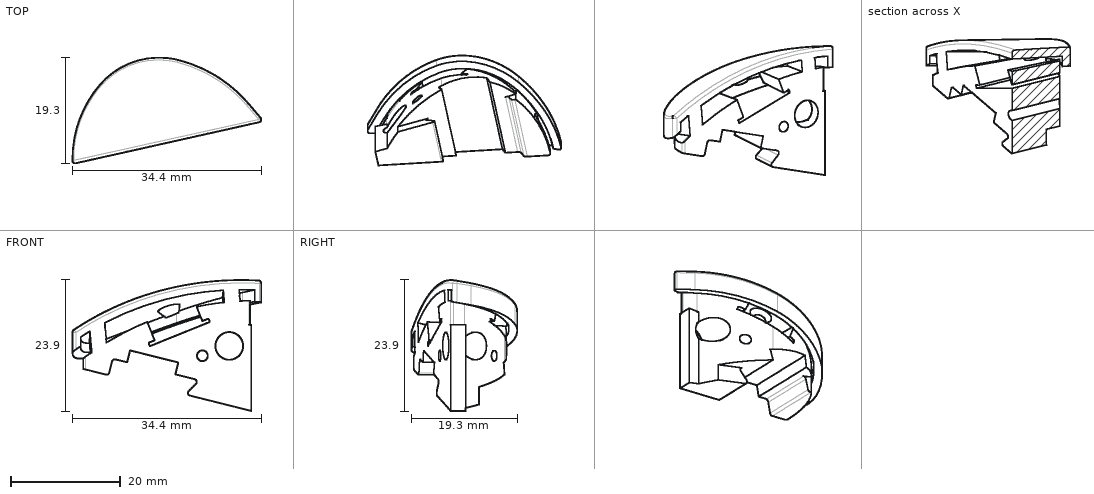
import cadquery as cq
import math


FRONT_SLOPE = 0.2238
FRONT_OFFSET = -0.08
START_HEADING = 1.614
BACK_ARCS = [
    (20.8, 0.754),
    (14.17, 1.111),
    (24.9, 0.615),
]
CORNER_RADIUS = 0.5

CAP_DIRECTION = cq.Vector(0.145, 1.0, -0.1655)
CAP_RADIUS = 54.17
CAP_AXIS_X = 33.0
CAP_AXIS_Z = -29.8
CEILING_DEPTH = 1.85
SKIRT_HEIGHT = 4.0
SKIRT_THICKNESS = 1.5
FLOOR_DIRECTION = cq.Vector(0.145, 1.0, 0.0)
FLOOR_RADIUS = 48.5
FLOOR_AXIS_X = 32.4
FLOOR_AXIS_Z = -28.4

POSTS = [
    (3.2, 6.07, 14.6),
    (27.68, 30.6, 22.0),
]
POST_LEAN = 0.09
POST_DRAFT = -0.04
POST_REACH = 8.0
POST_OVERLAP = 1.0

BODY_INSET = 1.95
BODY_CORNER_RADIUS = 0.35
SIDE_X = 32.54
SIDE_BACK_Y = 9.9
SIDE_BLOCK_LEFT = 25.0
SIDE_TOP_Z = 15.65
CLIP_BACK_Y = 12.38

RAIL_TILT = math.atan(0.25)
LAND_V = 3.1
NOTCH_V = 5.32
NOTCH_RIGHT_U = 15.05
NOTCH_WIDTH = 9.0
LEG_U = 26.75
HOOK_TIP_U = 12.4
HOOK_LEAN = 0.6
CLIP_RADIUS = 0.5

SLOT_TILT = 22.0
SLOT_CENTRE = (19.53, 14.02)
SLOT_WIDTH = 11.74
SLOT_HEIGHT = 0.62
NECK_WIDTH = 9.33
NECK_HEIGHT = 6.0
PLUNGER_GAP = 3.66
PLUNGER_TIP_RADIUS = 1.27
PLUNGER_HALF_ANGLE = 30.0
PLUNGER_LENGTH = 4.0
PLUNGER_Y = 12.3

HOLES = [(28.52, 11.84, 5.0), (23.63, 10.05, 1.92)]

REACH = 60.0
LINE_TOLERANCE = 0.05


def front_y(x):
    """Position of the front plane at x."""
    return FRONT_OFFSET + FRONT_SLOPE * x


def outline_prism(inset):
    """Tall prism on the cap outline, its back curve moved in by inset and its front unmoved."""
    heading = START_HEADING
    x = inset * math.sin(heading)
    y = front_y(0) - inset * math.cos(heading)
    wire = cq.Workplane("XY").moveTo(x, y)
    for full_radius, turn in BACK_ARCS:
        radius = full_radius - inset
        centre_x = x + radius * math.sin(heading)
        centre_y = y - radius * math.cos(heading)
        middle = heading - turn / 2
        heading -= turn
        x = centre_x - radius * math.sin(heading)
        y = centre_y + radius * math.cos(heading)
        wire = wire.threePointArc(
            (centre_x - radius * math.sin(middle), centre_y + radius * math.cos(middle)),
            (x, y),
        )
    slope = math.tan(heading)
    corner_x = (y - slope * x - FRONT_OFFSET) / (FRONT_SLOPE - slope)
    prism = wire.lineTo(corner_x, front_y(corner_x)).close().extrude(REACH)
    return prism.intersect(behind_front(REACH))


def behind_front(back_y):
    """Everything from the front plane back to back_y."""
    return (
        cq.Workplane("XY")
        .polyline([
            (-REACH, front_y(-REACH)),
            (REACH, front_y(REACH)),
            (REACH, back_y),
            (-REACH, back_y),
        ])
        .close()
        .extrude(REACH)
    )


def end_edges(prism):
    """Upright edges at the left and right ends of an outline prism."""
    return prism.edges("|Z and <X").add(prism.edges("|Z and >X"))


def long_cylinder(radius, axis_x, axis_z, direction):
    """Cylinder along direction whose axis crosses y = 0 at (axis_x, axis_z)."""
    unit = direction.normalized()
    start = cq.Vector(axis_x, 0, axis_z) - unit * REACH
    return cq.Workplane(cq.Solid.makeCylinder(radius, 2 * REACH, start, unit))


def below_cap_top(depth):
    """Everything under the surface that lies depth below the cap top."""
    return long_cylinder(CAP_RADIUS - depth, CAP_AXIS_X, CAP_AXIS_Z, CAP_DIRECTION)


def below_body_top():
    """Everything under the upper face of the body."""
    return long_cylinder(FLOOR_RADIUS, FLOOR_AXIS_X, FLOOR_AXIS_Z, FLOOR_DIRECTION)


def through_y(points):
    """Prism with an outline in XZ, running right through along Y."""
    return cq.Workplane("XZ").polyline(points).close().extrude(REACH, both=True)


def rail_point(u, v):
    """XZ position of a point of the rail frame."""
    cos_tilt = math.cos(RAIL_TILT)
    sin_tilt = math.sin(RAIL_TILT)
    return (SIDE_X - u * cos_tilt + v * sin_tilt, u * sin_tilt + v * cos_tilt)


def slot_point(along, up):
    """XZ position of a point of the switch slot frame."""
    cos_tilt = math.cos(math.radians(SLOT_TILT))
    sin_tilt = math.sin(math.radians(SLOT_TILT))
    return (
        SLOT_CENTRE[0] + along * cos_tilt - up * sin_tilt,
        SLOT_CENTRE[1] + along * sin_tilt + up * cos_tilt,
    )


def make_cap():
    """Curved shell with a side wall that is open towards the front and below."""
    top = below_cap_top(0)
    cap = outline_prism(0).intersect(top)
    cap = end_edges(cap).add(cap.faces(">Z").edges()).fillet(CORNER_RADIUS)
    cap = cap.cut(top.translate((0, 0, -SKIRT_HEIGHT)))
    return cap.cut(outline_prism(SKIRT_THICKNESS).intersect(below_cap_top(CEILING_DEPTH)))


def make_post(left_x, right_x, level):
    """Leaning prism along the post direction, with its side faces at left_x and right_x at level."""
    shift = POST_LEAN * POST_REACH
    bottom = level - POST_REACH
    top = level + POST_REACH
    wire = cq.Wire.makePolygon(
        [
            cq.Vector(left_x + shift, 0, bottom),
            cq.Vector(left_x - shift, 0, top),
            cq.Vector(right_x - shift, 0, top),
            cq.Vector(right_x + shift, 0, bottom),
        ],
        close=True,
    )
    direction = cq.Vector(POST_DRAFT, 1, 0) * REACH
    return cq.Workplane(cq.Solid.extrudeLinear(wire, [], direction))


def make_posts():
    """Posts at both ends of the cavity, from inside the body to inside the cap."""
    core = outline_prism(BODY_INSET)
    core = core.intersect(below_cap_top(CEILING_DEPTH / 2))
    core = core.cut(below_body_top().translate((0, 0, -POST_OVERLAP)))
    left_post, right_post = [core.intersect(make_post(*place)) for place in POSTS]
    return left_post.union(right_post)


def make_plunger():
    """Cone that hangs from the ceiling and points at the middle of the switch slot."""
    tip_x, tip_z = slot_point(0, PLUNGER_GAP)
    end_x, end_z = slot_point(0, PLUNGER_GAP + PLUNGER_LENGTH)
    root_radius = PLUNGER_TIP_RADIUS + PLUNGER_LENGTH * math.tan(math.radians(PLUNGER_HALF_ANGLE))
    tip = cq.Vector(tip_x, PLUNGER_Y, tip_z)
    direction = cq.Vector(end_x, PLUNGER_Y, end_z) - tip
    cone = cq.Solid.makeCone(PLUNGER_TIP_RADIUS, root_radius, PLUNGER_LENGTH, tip, direction)
    inside_cap = below_cap_top(CEILING_DEPTH / 2)
    return cq.Workplane(cone).intersect(inside_cap)


def make_switch_slot():
    """T shaped channel right through the body."""
    half_slot = SLOT_WIDTH / 2
    half_neck = NECK_WIDTH / 2
    return through_y([
        slot_point(-half_slot, 0),
        slot_point(half_slot, 0),
        slot_point(half_slot, SLOT_HEIGHT),
        slot_point(half_neck, SLOT_HEIGHT),
        slot_point(half_neck, NECK_HEIGHT),
        slot_point(-half_neck, NECK_HEIGHT),
        slot_point(-half_neck, SLOT_HEIGHT),
        slot_point(-half_slot, SLOT_HEIGHT),
    ])


def make_rail_gap():
    """Space between leg and hook, below the land."""
    gap = through_y([
        rail_point(HOOK_TIP_U, 0),
        rail_point(HOOK_TIP_U - HOOK_LEAN * LAND_V, LAND_V),
        rail_point(LEG_U, LAND_V),
        rail_point(LEG_U, 0),
    ])
    return gap.edges("|Y").edges(">Z or >X").fillet(CLIP_RADIUS)


def near_line(edges, x, z):
    """Those edges that lie on the line through (x, z) along Y."""
    low = (x - LINE_TOLERANCE, -REACH, z - LINE_TOLERANCE)
    high = (x + LINE_TOLERANCE, REACH, z + LINE_TOLERANCE)
    return edges.edges(cq.selectors.BoxSelector(low, high))


def make_notch():
    """Square channel in the land, right through the body."""
    left_u = NOTCH_RIGHT_U + NOTCH_WIDTH
    return through_y([
        rail_point(NOTCH_RIGHT_U, LAND_V - NOTCH_V),
        rail_point(NOTCH_RIGHT_U, NOTCH_V),
        rail_point(left_u, NOTCH_V),
        rail_point(left_u, LAND_V - NOTCH_V),
    ])


def above_rail_line(v):
    """Everything above the rail-frame line at height v."""
    return through_y([
        rail_point(-REACH, v),
        rail_point(REACH, v),
        rail_point(REACH, v + REACH),
        rail_point(-REACH, v + REACH),
    ])


def make_side_block():
    """Square right end of the body, up to the flat right side."""
    width = SIDE_X - SIDE_BLOCK_LEFT
    block = cq.Workplane("XY").box(width, SIDE_BACK_Y, SIDE_TOP_Z, centered=False)
    return block.translate((SIDE_BLOCK_LEFT, 0, 0)).intersect(behind_front(REACH))


def make_body():
    """Core below the cavity, with leg, hook, notch, switch slot and holes."""
    core = end_edges(outline_prism(BODY_INSET)).fillet(BODY_CORNER_RADIUS)
    core = core.union(make_side_block())
    core = core.intersect(below_body_top()).intersect(above_rail_line(0))
    clip_zone = behind_front(CLIP_BACK_Y)
    body = core.intersect(clip_zone).cut(make_rail_gap())
    for tip_u in (HOOK_TIP_U, LEG_U):
        body = near_line(body.edges(), *rail_point(tip_u, 0)).fillet(CLIP_RADIUS)
    body = body.union(core.cut(clip_zone).intersect(above_rail_line(LAND_V)))
    body = body.cut(make_notch()).cut(make_switch_slot())
    for x, z, diameter in HOLES:
        hole = cq.Workplane("XZ").center(x, z).circle(diameter / 2).extrude(REACH, both=True)
        body = body.cut(hole)
    return body


result = make_cap().union(make_body()).union(make_posts()).union(make_plunger())